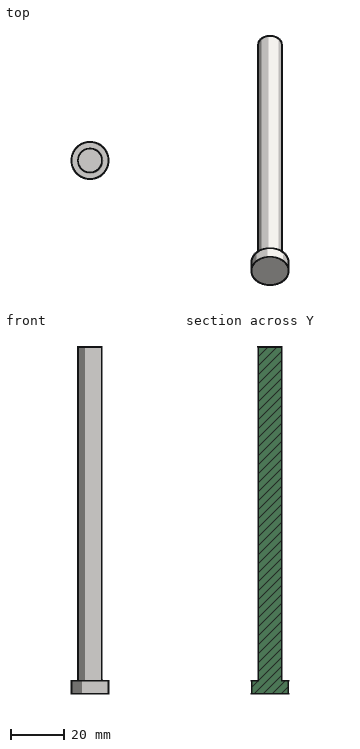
import cadquery as cq

total_length = 130.0
head_diameter = 14.0
head_height = 5.0
shank_diameter = 9.0
root_fillet_radius = 0.2


def make_pin():
    """Revolve the half profile about Z, with a small fillet at the shank root."""
    head_radius = head_diameter / 2
    shank_radius = shank_diameter / 2
    fillet_top = head_height + root_fillet_radius
    fillet_outer = shank_radius + root_fillet_radius
    profile = (
        cq.Workplane("XZ")
        .moveTo(0, 0)
        .lineTo(head_radius, 0)
        .lineTo(head_radius, head_height)
        .lineTo(fillet_outer, head_height)
        .radiusArc((shank_radius, fillet_top), root_fillet_radius)
        .lineTo(shank_radius, total_length)
        .lineTo(0, total_length)
        .close()
    )
    return profile.revolve(360, (0, 0), (0, 1))


result = make_pin()